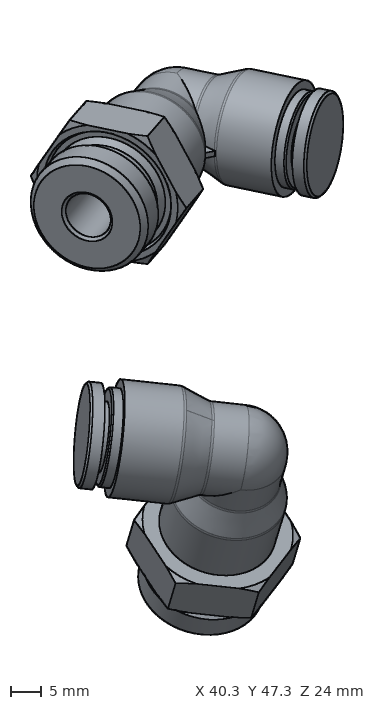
import cadquery as cq
import math


overall_length = 47.25
overall_width = 40.25

bend_radius = 7.75
barrel_radius = 19.5 / 2
cone_start = 6.0
cone_end = 10.95
arm_length = 21.0
blend_radius = 1.2
web_thickness = 1.0

hex_flats = 24.0
hex_height = 8.0
hex_face_diameter = 25.05
hex_corner_drop = 0.45
recess_radius = 11.35
recess_floor_radius = 10.95
recess_depth = 0.85
neck_radius = 18.2 / 2
neck_flare = 0.3
neck_flare_length = 0.43
thread_radius = 20.95 / 2
flank_start = 2.5
flank_angle = 30.0
thread_chamfer = 1.0
bore_diameter = 8.0
bore_chamfer = 0.5

ring_radius = 16.5 / 2
ring_length = 1.9
ring_chamfer = 0.3

collet_neck_radius = 11.7 / 2
flange_width_y = 16.0
flange_width_z = 18.45
flange_thickness = 2.4
flange_chamfer = 0.4

hex_corner_radius = hex_flats / 2 / math.cos(math.pi / 6)
hex_face_radius = hex_face_diameter / 2
stud_length = overall_length - barrel_radius - arm_length
port_end = overall_width - hex_corner_radius


def revolve_about_y(points):
    """Solid of revolution about the Y axis from (radius, y) points."""
    return cq.Workplane("XY").polyline(points).close().revolve(360, (0, 0, 0), (0, 1, 0))


def make_arm():
    """Arm along -Y: slim tube, cone and barrel with softened transitions."""
    arm = revolve_about_y([
        (0, 0),
        (bend_radius, 0),
        (bend_radius, -cone_start),
        (barrel_radius, -cone_end),
        (barrel_radius, -arm_length),
        (0, -arm_length),
    ])
    margin = 0.45
    cone_circles = cq.selectors.BoxSelector(
        (-margin, -cone_end - margin, -margin),
        (margin, -cone_start + margin, margin),
    )
    return arm.edges(cone_circles).fillet(blend_radius)


def make_web():
    """Thin flat web that fills the inside corner between the two barrels."""
    return (
        cq.Workplane("XY")
        .polyline([
            (bend_radius, -bend_radius),
            (cone_end, -bend_radius),
            (cone_end, -barrel_radius),
            (barrel_radius, -cone_end),
            (bend_radius, -cone_end),
        ])
        .close()
        .extrude(web_thickness / 2, both=True)
    )


def make_housing():
    stud_arm = make_arm()
    port_arm = make_arm().rotate((0, 0, 0), (0, 0, 1), 90)
    corner = cq.Workplane("XY").sphere(bend_radius)
    return stud_arm.union(port_arm).union(corner).union(make_web())


def make_hexagon():
    """Hexagon with corners on X, its corners turned off conically at both faces."""
    top = -arm_length
    bottom = top - hex_height
    prism = (
        cq.Workplane("XZ", origin=(0, top, 0))
        .polygon(6, 2 * hex_corner_radius)
        .extrude(hex_height)
    )
    turned = revolve_about_y([
        (0, top),
        (hex_face_radius, top),
        (hex_corner_radius, top - hex_corner_drop),
        (hex_corner_radius, bottom + hex_corner_drop),
        (hex_face_radius, bottom),
        (0, bottom),
    ])
    seal_recess = revolve_about_y([
        (0, bottom),
        (recess_radius, bottom),
        (recess_floor_radius, bottom + recess_depth),
        (0, bottom + recess_depth),
    ])
    return prism.intersect(turned).cut(seal_recess)


def make_threaded_end():
    """Flared undercut neck and chamfered thread envelope below the hexagon."""
    hex_bottom = -arm_length - hex_height
    seat = hex_bottom + recess_depth
    stud_end = -arm_length - stud_length
    flare_end = hex_bottom - neck_flare_length
    flare_slope = neck_flare / neck_flare_length
    flank_top = hex_bottom - flank_start
    flank_height = (thread_radius - neck_radius) * math.tan(math.radians(flank_angle))
    return revolve_about_y([
        (0, seat),
        (neck_radius + flare_slope * (seat - flare_end), seat),
        (neck_radius, flare_end),
        (neck_radius, flank_top),
        (thread_radius, flank_top - flank_height),
        (thread_radius, stud_end + thread_chamfer),
        (thread_radius - thread_chamfer, stud_end),
        (0, stud_end),
    ])


def make_stud():
    """Hexagon and threaded end in one piece, with a through bore."""
    blank = make_hexagon().union(make_threaded_end())
    bored = blank.faces("<Y").workplane(centerOption="CenterOfBoundBox").hole(bore_diameter)
    return bored.faces("<Y").edges(cq.selectors.RadiusNthSelector(0)).chamfer(bore_chamfer)


def make_ring():
    """Ring on the port end face, around the collet neck."""
    return (
        cq.Workplane("YZ", origin=(arm_length, 0, 0))
        .circle(ring_radius)
        .extrude(ring_length)
        .faces(">X")
        .chamfer(ring_chamfer)
        .faces(">X")
        .workplane()
        .hole(2 * collet_neck_radius)
    )


def make_collet():
    """Round neck standing on the port end face, with an oval flange at its tip."""
    flange_start = port_end - flange_thickness
    flange = (
        cq.Workplane("YZ", origin=(flange_start, 0, 0))
        .ellipse(flange_width_y / 2, flange_width_z / 2)
        .extrude(flange_thickness)
        .faces(">X")
        .chamfer(flange_chamfer)
    )
    neck = (
        cq.Workplane("YZ", origin=(arm_length, 0, 0))
        .circle(collet_neck_radius)
        .extrude(flange_start - arm_length)
    )
    return flange.union(neck)


housing = make_housing()
stud = make_stud()
ring = make_ring()
collet = make_collet()

result = cq.Compound.makeCompound([housing.val(), stud.val(), ring.val(), collet.val()])